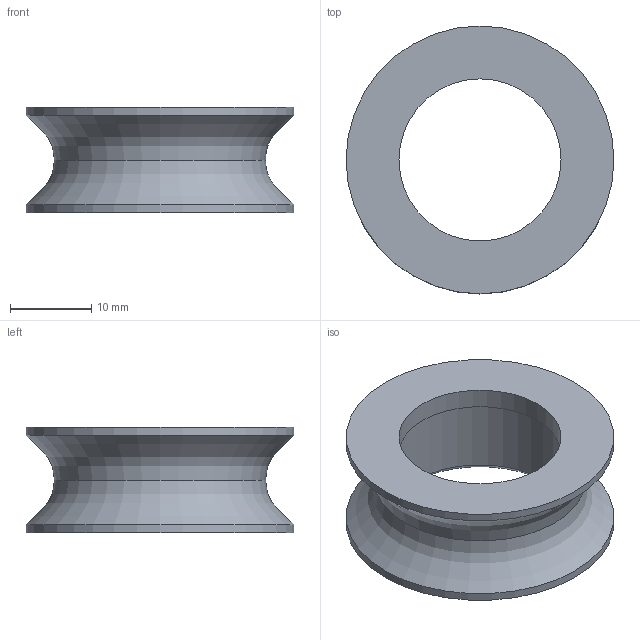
import cadquery as cq

outer_diameter = 33.05
height = 13.0
rim_height = 1.0

waist_diameter = 26.05

lip_diameter = 20.0
lip_height = 2.5
pocket_diameter = 22.05
mouth_chamfer = 1.0

outer_radius = outer_diameter / 2
waist_radius = waist_diameter / 2
middle_height = height / 2
pocket_depth = height - lip_height
pocket_radius = pocket_diameter / 2
mouth_radius = pocket_radius + mouth_chamfer


def wheel_body():
    return cq.Workplane("XY").circle(outer_radius).extrude(height)


def half_groove_cutter():
    """Lower half of the groove: its flank is upright at the waist and at 45 degrees at the rim."""
    upright = (0, -1)
    outward_slope = (1, -1)
    return (
        cq.Workplane("XZ")
        .moveTo(waist_radius, middle_height)
        .spline([(outer_radius, rim_height)], tangents=[upright, outward_slope], includeCurrent=True)
        .lineTo(outer_radius, middle_height)
        .close()
        .revolve(360, (0, 0, 0), (0, 1, 0))
    )


def groove_cutters():
    lower_half = half_groove_cutter()
    upper_half = lower_half.mirror("XY", (0, 0, middle_height))
    return lower_half, upper_half


def bore_cutter():
    through_hole = cq.Workplane("XY").circle(lip_diameter / 2).extrude(height)
    pocket = cq.Workplane("XY").circle(pocket_radius).extrude(pocket_depth)
    return through_hole.union(pocket)


def mouth_chamfer_cutter():
    """Cone at 45 degrees that widens the lower end of the pocket."""
    return (
        cq.Workplane("XY")
        .circle(mouth_radius)
        .workplane(offset=mouth_chamfer)
        .circle(pocket_radius)
        .loft()
    )


result = wheel_body()
for groove_half in groove_cutters():
    result = result.cut(groove_half)
result = result.cut(bore_cutter()).cut(mouth_chamfer_cutter())